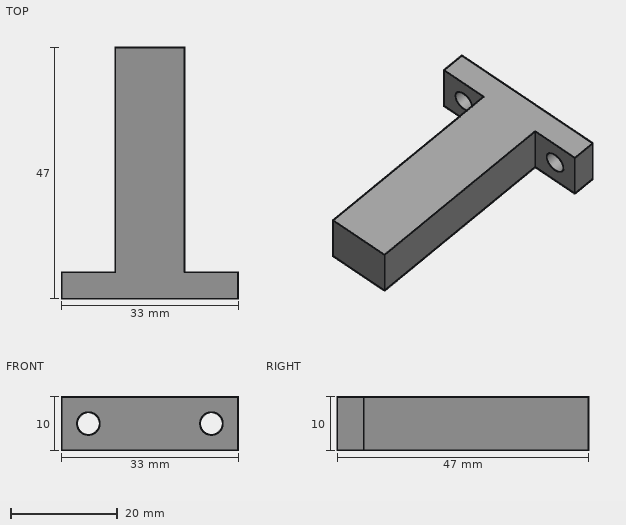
import cadquery as cq

height = 10.0
flange_width = 33.0
flange_thickness = 5.0
stem_width = 13.0
stem_length = 42.0
hole_diameter = 4.2
hole_edge_distance = 5.0

hole_spacing = flange_width - 2 * hole_edge_distance


def make_flange():
    """Mounting plate with its outer face on Y = 0, centred on X and Z."""
    return cq.Workplane("XY").box(flange_width, flange_thickness, height, centered=(True, False, True))


def make_stem():
    """Rectangular bar running in +Y from the back of the flange."""
    return (
        cq.Workplane("XY")
        .box(stem_width, stem_length, height, centered=(True, False, True))
        .translate((0, flange_thickness, 0))
    )


def make_mounting_holes():
    """Two cylinders along Y that pass through the flange, one on each side of the stem."""
    return (
        cq.Workplane("XZ")
        .rarray(hole_spacing, 1, 2, 1)
        .circle(hole_diameter / 2)
        .extrude(-flange_thickness)
    )


result = make_flange().union(make_stem()).cut(make_mounting_holes())